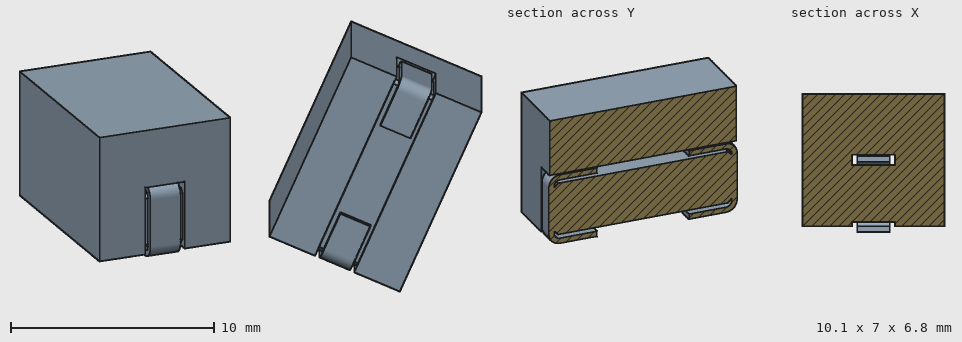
import cadquery as cq

overall_length = 10.1
overall_width = 7.0
overall_height = 6.8
standoff = 0.28
terminal_overhang = 0.05
body_length = overall_length - 2 * terminal_overhang

slot_width = 2.1
slot_top = 3.8

terminal_width = 1.62
terminal_top = 3.76
terminal_thickness = 0.3
terminal_reach = 2.6
bend_radius = 0.62

core_bottom = 0.49
core_top = 3.31
core_chamfer = 0.2
core_length = overall_length - 2 * terminal_thickness


def box_between(length, width, bottom, top):
    """Box centred on the Z axis, from height bottom to height top."""
    return (
        cq.Workplane("XY")
        .workplane(offset=bottom)
        .rect(length, width)
        .extrude(top - bottom)
    )


def make_body():
    body = box_between(body_length, overall_width, standoff, overall_height)
    slot = box_between(overall_length, slot_width, 0, slot_top)
    return body.cut(slot)


def make_core():
    core = box_between(core_length, slot_width, core_bottom, core_top)
    return core.edges("|Y").chamfer(core_chamfer)


def make_left_terminal():
    """Bent strip: foot on the mounting plane, upright leg, and top leg into the slot."""
    outer_face = -overall_length / 2
    leg_end = outer_face + terminal_reach
    inner_reach = terminal_reach - terminal_thickness
    inner_height = terminal_top - 2 * terminal_thickness

    outside = (
        cq.Workplane("XZ")
        .center(outer_face + terminal_reach / 2, terminal_top / 2)
        .rect(terminal_reach, terminal_top)
        .extrude(terminal_width / 2, both=True)
        .edges("|Y and <X")
        .fillet(bend_radius)
    )
    inside = (
        cq.Workplane("XZ")
        .center(leg_end - inner_reach / 2, terminal_top / 2)
        .rect(inner_reach, inner_height)
        .extrude(terminal_width / 2, both=True)
        .edges("|Y and <X")
        .fillet(bend_radius - terminal_thickness)
    )
    return outside.cut(inside)


left_terminal = make_left_terminal()
right_terminal = left_terminal.mirror("YZ")

result = make_body().union(make_core()).union(left_terminal).union(right_terminal)